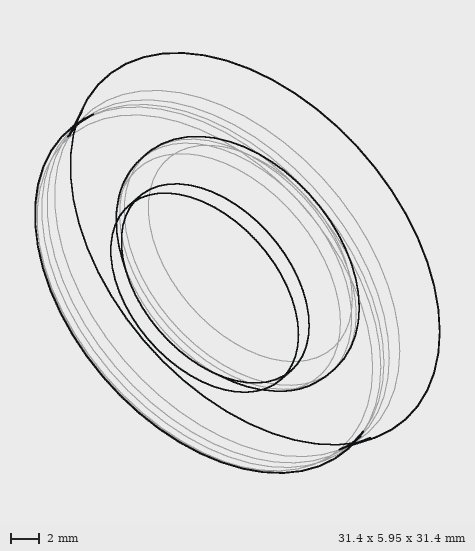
import cadquery as cq
import math

thickness = 5.95
back_radius = 15.7

front_face_radius = 14.25
rim_radius = 14.63
rim_depth = 0.45
rim_bulge = 0.14
waist_radius = 14.53
waist_start_depth = 0.95
waist_end_depth = 1.57
flare_start_radius = 14.65
flare_start_depth = 2.65
flare_hollow = 0.03

mouth_radius = 7.97
mouth_depth = 1.25
chamber_radius = 9.85
undercut_angle = 45.0
chamber_fillet = 1.2
floor_depth = 5.37


def mid_blend(start, end, bulge):
    """Point halfway between two profile points, moved radially by the bulge."""
    return ((start[0] + end[0]) / 2 + bulge, (start[1] + end[1]) / 2)


def turn(profile):
    """Revolve a half section, with radius along X and depth along Y, about the Y axis."""
    return profile.revolve(360, (0, 0), (0, 1))


def make_body():
    waist_end = (waist_radius, waist_end_depth)
    flare_start = (flare_start_radius, flare_start_depth)
    rim = (rim_radius, rim_depth)
    face_edge = (front_face_radius, 0)
    profile = (
        cq.Workplane("XY")
        .lineTo(*face_edge)
        .threePointArc(mid_blend(face_edge, rim, rim_bulge), rim)
        .lineTo(waist_radius, waist_start_depth)
        .lineTo(*waist_end)
        .threePointArc(mid_blend(waist_end, flare_start, -flare_hollow), flare_start)
        .lineTo(back_radius, thickness)
        .lineTo(0, thickness)
        .close()
    )
    return turn(profile)


def make_pocket():
    undercut_length = (chamber_radius - mouth_radius) / math.tan(math.radians(undercut_angle))
    profile = (
        cq.Workplane("XY")
        .lineTo(mouth_radius, 0)
        .lineTo(mouth_radius, mouth_depth)
        .lineTo(chamber_radius, mouth_depth + undercut_length)
        .lineTo(chamber_radius, floor_depth)
        .lineTo(0, floor_depth)
        .close()
    )
    pocket = turn(profile)
    chamber_edges = cq.selectors.RadiusNthSelector(-1)
    return pocket.edges("%CIRCLE").edges(chamber_edges).fillet(chamber_fillet)


result = make_body().cut(make_pocket())